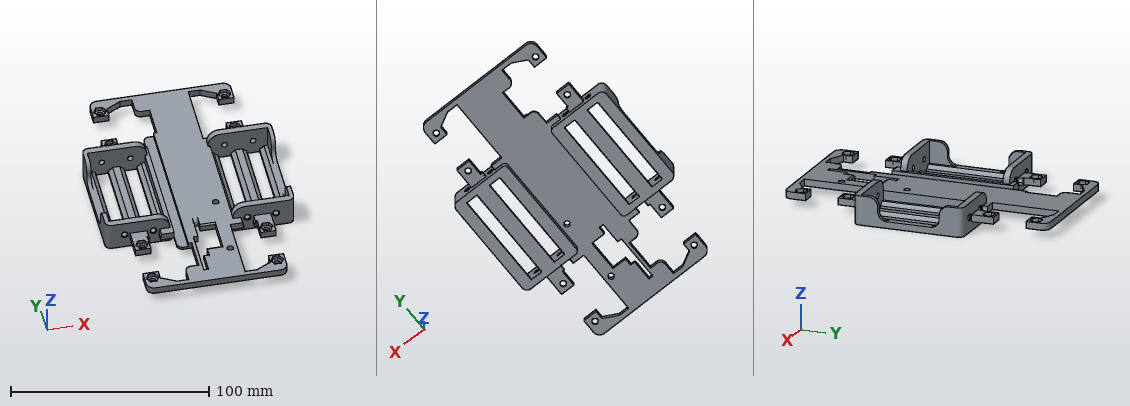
import cadquery as cq
import math

TOTAL_HEIGHT = 15.6
PLATE_BOTTOM = 4.9
PLATE_TOP = 8.6
LEDGE_TOP = 6.3
CRADLE_TOP = 3.6

PLATE_LENGTH = 143.3
END_BAR_WIDTH = 72.5
END_BAR_RADIUS = 4.0
END_BAR_DEPTH = 2.7
SPINE_HALF_WIDTH = 14.55
LEDGE_INNER_X = -9.1
NOTCH_INNER_X = -7.35
NOTCH_NEAR_Y = 42.3
NOTCH_FAR_Y = 59.4
NOTCH_RADIUS = 3.0

TAB_WIDTH = 7.9
TAB_OUTER_X = END_BAR_WIDTH / 2
TAB_INNER_X = TAB_OUTER_X - TAB_WIDTH
TAB_HOLE_X = 32.1
OUTER_TAB_END_Y = 59.9
OUTER_TAB_HOLE_Y = 63.8
INNER_TAB_END_Y = 42.1
INNER_TAB_HOLE_Y = 38.2
GUSSET_START_X = 20.6
GUSSET_END_Y = 64.8
TAB_HOLE_DIAMETER = 3.2
NUT_ACROSS_FLATS = 5.6
NUT_DEPTH = 2.0
CROSS_BAR_END_Y = 33.0

HOLDER_WIDTH_OVERALL = 97.4
CELL_PITCH = 14.8
CRADLE_DIAMETER = 14.2
CELL_LENGTH = 52.0
CAVITY_CENTRE_Y = 0.7
CAVITY_INNER_X = 16.85
CAVITY_OUTER_X = CAVITY_INNER_X + 2 * CELL_PITCH
CELL_XS = [CAVITY_INNER_X + (i + 0.5) * CELL_PITCH for i in range(2)]
CELL_AXIS_Z = 8.0
END_WALL = 3.6
HOLDER_LENGTH = CELL_LENGTH + 2 * END_WALL
HOLDER_FRONT_Y = CAVITY_CENTRE_Y - HOLDER_LENGTH / 2
HOLDER_REAR_Y = CAVITY_CENTRE_Y + HOLDER_LENGTH / 2
HOLDER_OUTER_X = HOLDER_WIDTH_OVERALL / 2
HOLDER_INNER_X = 14.4
HOLDER_OUTER_RADIUS = 3.2
HOLDER_INNER_RADIUS = 2.0
FLOOR_SLOT_WIDTH = 6.6
END_WALL_TIP_X = 15.75
SHORT_TIP_X = 16.75
END_WALL_RADIUS = 6.3
WINDOW_CENTRE_Y = 1.0
WINDOW_WIDTH = 33.4
WINDOW_RADIUS = 4.9
SCREW_DIAMETER = 2.85
SCREW_MOUTH_DIAMETER = 3.6
SCREW_HEAD_DIAMETER = 6.6
HEAD_SLOT_WIDTH = 5.6

SPINE_HOLE_X = 10.8
SPINE_HOLE_YS = (-14.8, -50.3)
SPINE_HOLE_DIAMETER = 3.2
SWITCH_CENTRE_Y = -39.2
SWITCH_LEFT_X = -0.6
SWITCH_RIGHT_X = 7.45
SWITCH_LENGTH = 17.0
SWITCH_LIP = 1.0
SWITCH_LIP_DEPTH = 0.6
LEVER_LEFT_X = -3.2
LEVER_LENGTH = 25.2
LEVER_ROUND = 2.1
WIRE_SLOT_LEFT_X = -5.6
WIRE_SLOT_Y = (-63.4, -38.2)


def box(x0, x1, y0, y1, z0, z1):
    """Axis-aligned block between two opposite corners."""
    return cq.Workplane("XY").box(x1 - x0, y1 - y0, z1 - z0, centered=False).translate((x0, y0, z0))


def plate_block(x0, x1, y0, y1):
    """Block with the thickness of the main plate."""
    return box(x0, x1, y0, y1, PLATE_BOTTOM, PLATE_TOP)


def rod(diameter, x, y0, y1):
    """Cylinder along Y on the cell axis height."""
    start = cq.Workplane("XZ", origin=(x, y0, CELL_AXIS_Z))
    return start.circle(diameter / 2).extrude(-(y1 - y0))


def both_ends(shape):
    """The shape together with its copy at the opposite Y end."""
    return shape.union(shape.mirror("XZ"))


def both_sides(shape):
    """The shape together with its copy at the opposite X side."""
    return shape.union(shape.mirror("YZ"))


def make_end_bars():
    """Rounded bars across both ends, each with two gusseted tabs."""
    end_y = PLATE_LENGTH / 2
    bar_y = end_y - END_BAR_DEPTH
    outline = [
        (0, end_y),
        (TAB_OUTER_X, end_y),
        (TAB_OUTER_X, OUTER_TAB_END_Y),
        (TAB_INNER_X, OUTER_TAB_END_Y),
        (TAB_INNER_X, GUSSET_END_Y),
        (GUSSET_START_X, bar_y),
        (0, bar_y),
    ]
    half = cq.Workplane("XY", origin=(0, 0, PLATE_BOTTOM)).polyline(outline).close()
    half = half.extrude(PLATE_TOP - PLATE_BOTTOM)
    half = half.edges("|Z and >X and >Y").fillet(END_BAR_RADIUS)
    return both_ends(both_sides(half))


def make_spine():
    """Central plate with two rounded notches and a lowered ledge on its left edge."""
    half_length = PLATE_LENGTH / 2
    spine = plate_block(-SPINE_HALF_WIDTH, SPINE_HALF_WIDTH, -half_length, half_length)
    notch = plate_block(-SPINE_HALF_WIDTH, NOTCH_INNER_X, NOTCH_NEAR_Y, NOTCH_FAR_Y)
    spine = spine.cut(both_ends(notch))
    for y in (NOTCH_NEAR_Y, NOTCH_FAR_Y):
        for end in (-1, 1):
            corner = cq.selectors.NearestToPointSelector(
                (-SPINE_HALF_WIDTH, end * y, (PLATE_BOTTOM + PLATE_TOP) / 2)
            )
            spine = spine.edges("|Z").edges(corner).fillet(NOTCH_RADIUS)
    ledge_gap = box(-SPINE_HALF_WIDTH, LEDGE_INNER_X, -NOTCH_NEAR_Y, NOTCH_NEAR_Y, LEDGE_TOP, PLATE_TOP)
    return spine.cut(ledge_gap)


def end_wall_clearance(tip_x, y0, y1):
    """Space on the spine side of an end wall whose upper corner is rounded at tip_x."""
    far_x = tip_x + 2 * END_WALL_RADIUS
    wall = box(tip_x, far_x, y0, y1, PLATE_TOP, TOTAL_HEIGHT)
    wall = wall.edges("|Y and <X and >Z").fillet(END_WALL_RADIUS)
    return box(0, far_x, y0, y1, PLATE_TOP, TOTAL_HEIGHT).cut(wall)


def make_holder(front_tip_x):
    """Right-hand battery holder: tray, cradles, walls and screw holes."""
    y0 = HOLDER_FRONT_Y
    y1 = HOLDER_REAR_Y
    cavity_y0 = y0 + END_WALL
    cavity_y1 = y1 - END_WALL

    tray = box(HOLDER_INNER_X, HOLDER_OUTER_X, y0, y1, 0, TOTAL_HEIGHT)
    tray = tray.edges("|Z and >X").fillet(HOLDER_OUTER_RADIUS)
    tray = tray.edges("|Z and <X").fillet(HOLDER_INNER_RADIUS)

    tray = tray.cut(end_wall_clearance(front_tip_x, y0, cavity_y0))
    tray = tray.cut(end_wall_clearance(END_WALL_TIP_X, cavity_y1, y1))
    tray = tray.cut(box(0, CAVITY_INNER_X, cavity_y0, cavity_y1, PLATE_TOP, TOTAL_HEIGHT))

    tray = tray.cut(box(CAVITY_INNER_X, CAVITY_OUTER_X, cavity_y0, cavity_y1, CRADLE_TOP, TOTAL_HEIGHT))
    for x in CELL_XS:
        half_slot = FLOOR_SLOT_WIDTH / 2
        tray = tray.cut(rod(CRADLE_DIAMETER, x, cavity_y0, cavity_y1))
        tray = tray.cut(box(x - half_slot, x + half_slot, cavity_y0, cavity_y1, 0, CELL_AXIS_Z))

    return tray.cut(make_side_window()).cut(make_screw_holes())


def make_side_window():
    """S-curved opening through the outer side wall, wider at its rim."""
    half = WINDOW_WIDTH / 2
    r = WINDOW_RADIUS
    profile = (
        cq.Workplane("YZ", origin=(CAVITY_OUTER_X, WINDOW_CENTRE_Y, 0))
        .moveTo(-half - r, TOTAL_HEIGHT)
        .radiusArc((-half, TOTAL_HEIGHT - r), r)
        .lineTo(-half, CRADLE_TOP + r)
        .radiusArc((-half + r, CRADLE_TOP), -r)
        .lineTo(half - r, CRADLE_TOP)
        .radiusArc((half, CRADLE_TOP + r), -r)
        .lineTo(half, TOTAL_HEIGHT - r)
        .radiusArc((half + r, TOTAL_HEIGHT), r)
        .close()
    )
    return profile.extrude(HOLDER_OUTER_X - CAVITY_OUTER_X)


def make_screw_holes():
    """Screw holes through the end walls on each cell axis of a right-hand holder."""
    holes = cq.Workplane("XY")
    for x in CELL_XS:
        holes = holes.union(rod(SCREW_DIAMETER, x, HOLDER_FRONT_Y, HOLDER_REAR_Y))
        for outer_y, inward in ((HOLDER_FRONT_Y, 1), (HOLDER_REAR_Y, -1)):
            mouth = cq.Solid.makeCone(
                SCREW_MOUTH_DIAMETER / 2,
                SCREW_DIAMETER / 2,
                (SCREW_MOUTH_DIAMETER - SCREW_DIAMETER) / 2,
                pnt=cq.Vector(x, outer_y, CELL_AXIS_Z),
                dir=cq.Vector(0, inward, 0),
            )
            holes = holes.union(cq.Workplane(mouth))
    return holes


def make_tab_bar(wall_y):
    """Cross bar and nut tab standing out from a holder's end wall towards +Y."""
    cross = plate_block(HOLDER_INNER_X, TAB_OUTER_X, wall_y, CROSS_BAR_END_Y)
    tab = plate_block(TAB_INNER_X, TAB_OUTER_X, wall_y, INNER_TAB_END_Y)

    x = CELL_XS[0]
    half_slot = HEAD_SLOT_WIDTH / 2
    groove = rod(SCREW_HEAD_DIAMETER, x, wall_y, CROSS_BAR_END_Y)
    slot = plate_block(x - half_slot, x + half_slot, wall_y, CROSS_BAR_END_Y)
    return cross.union(tab).cut(groove).cut(slot)


def make_tab_holes():
    """Screw holes with hexagonal nut pockets in all eight tabs."""
    points = [
        (side * TAB_HOLE_X, end * y)
        for side in (-1, 1)
        for end in (-1, 1)
        for y in (INNER_TAB_HOLE_Y, OUTER_TAB_HOLE_Y)
    ]
    nut_across_corners = NUT_ACROSS_FLATS / math.cos(math.pi / 6)
    holes = cq.Workplane("XY").pushPoints(points).circle(TAB_HOLE_DIAMETER / 2).extrude(PLATE_TOP)
    pockets = (
        cq.Workplane("XY", origin=(0, 0, PLATE_TOP - NUT_DEPTH))
        .pushPoints(points)
        .polygon(6, nut_across_corners)
        .extrude(NUT_DEPTH)
    )
    return holes.union(pockets)


def make_spine_cutouts():
    """Switch opening, lever slot, wire slot and two screw holes in the spine."""
    thickness = PLATE_TOP - PLATE_BOTTOM
    half_switch = SWITCH_LENGTH / 2
    half_lever = LEVER_LENGTH / 2
    y = SWITCH_CENTRE_Y

    switch = plate_block(SWITCH_LEFT_X, SWITCH_RIGHT_X, y - half_switch, y + half_switch)
    rim = half_switch + SWITCH_LIP
    lip = (
        cq.Workplane("YZ", origin=(SWITCH_LEFT_X, y, PLATE_TOP))
        .polyline([
            (-rim, 0),
            (-half_switch, -SWITCH_LIP_DEPTH),
            (half_switch, -SWITCH_LIP_DEPTH),
            (rim, 0),
        ])
        .close()
        .extrude(SWITCH_RIGHT_X - SWITCH_LEFT_X)
    )

    r = LEVER_ROUND
    lever = (
        cq.Workplane("YZ", origin=(LEVER_LEFT_X, y, PLATE_TOP))
        .moveTo(-half_lever - r, 0)
        .radiusArc((-half_lever, -r), r)
        .lineTo(-half_lever, -thickness)
        .lineTo(half_lever, -thickness)
        .lineTo(half_lever, -r)
        .radiusArc((half_lever + r, 0), r)
        .close()
        .extrude(SWITCH_LEFT_X - LEVER_LEFT_X)
    )

    wire_slot = plate_block(WIRE_SLOT_LEFT_X, LEVER_LEFT_X, *WIRE_SLOT_Y)
    holes = (
        cq.Workplane("XY")
        .pushPoints([(SPINE_HOLE_X, hole_y) for hole_y in SPINE_HOLE_YS])
        .circle(SPINE_HOLE_DIAMETER / 2)
        .extrude(PLATE_TOP)
    )
    return switch.union(lip).union(lever).union(wire_slot).union(holes)


left_holder = make_holder(END_WALL_TIP_X).mirror("YZ")
right_holder = make_holder(SHORT_TIP_X)

left_wall_strip = plate_block(-CAVITY_INNER_X, -HOLDER_INNER_X, HOLDER_FRONT_Y, HOLDER_REAR_Y)
right_wall_strip = left_wall_strip.mirror("YZ")

tab_bars = make_tab_bar(HOLDER_REAR_Y).union(make_tab_bar(-HOLDER_FRONT_Y).mirror("XZ"))

result = make_spine().union(make_end_bars())
result = result.union(left_wall_strip).union(right_wall_strip)
result = result.union(left_holder).union(right_holder)
result = result.union(both_sides(tab_bars))
result = result.cut(make_tab_holes()).cut(make_spine_cutouts())